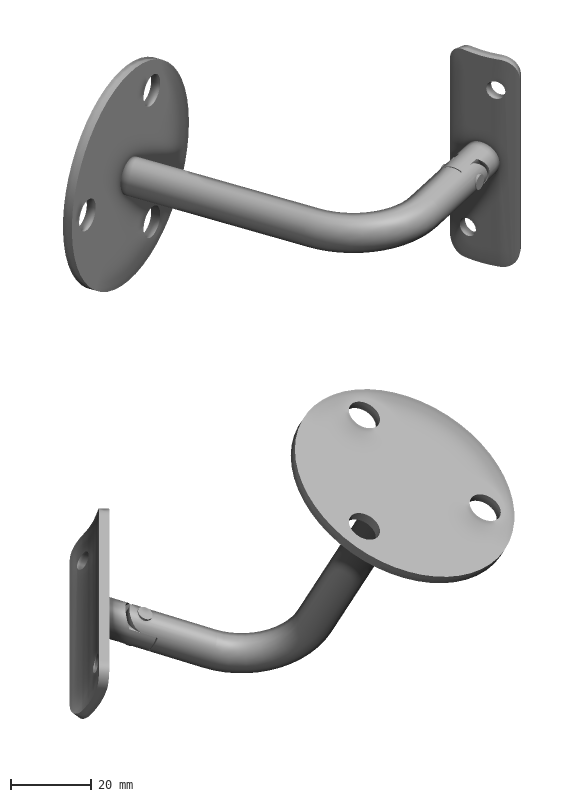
import cadquery as cq
import math

flange_diameter = 60.0
flange_thickness = 2.55
flange_hole_diameter = 8.5
flange_hole_circle_radius = 22.0
flange_hole_count = 3
arm_diameter = 10.0
arm_radius = arm_diameter / 2
bend_radius = 20.0

saddle_width = 20.0
saddle_height = flange_diameter
saddle_thickness = 2.55
saddle_outer_radius = 26.0
saddle_inner_radius = saddle_outer_radius - saddle_thickness
saddle_near_y = 49.6
saddle_corner_radius = 5.0
saddle_hole_diameter = 5.0
saddle_hole_offset_x = 4.0
saddle_hole_offset_z = 21.0

total_length = 85.0
post_x = total_length - saddle_width / 2
bend_start_x = post_x - bend_radius
saddle_axis_y = saddle_near_y + saddle_outer_radius

tongue_width = 5.0
tongue_end_y = 35.45
slot_clearance = 0.38
slot_end_y = tongue_end_y - slot_clearance
pin_y = 39.7
pin_diameter = 4.0
pin_protrusion = 0.3
pin_length = arm_diameter + 2 * pin_protrusion
fork_tip_radius = 4.25
shoulder_radius = 5.35


def box_between(x_range, y_range, height):
    """Box spanning the given X and Y ranges, centred on Z = 0."""
    return (
        cq.Workplane("XY")
        .moveTo((x_range[0] + x_range[1]) / 2, (y_range[0] + y_range[1]) / 2)
        .rect(x_range[1] - x_range[0], y_range[1] - y_range[0])
        .extrude(height / 2, both=True)
    )


def post_cylinder(start_y, end_y):
    """Round bar along Y, in line with the outer leg of the arm."""
    base = cq.Workplane("XZ", origin=(post_x, start_y, 0))
    return base.circle(arm_radius).extrude(start_y - end_y)


def cross_cylinder(radius, length):
    """Cylinder along X, centred on the joint axis."""
    base = cq.Workplane("YZ", origin=(post_x, pin_y, 0))
    return base.circle(radius).extrude(length / 2, both=True)


def fork_profile(tip_radius, start_y):
    """Block across the bar, with a round tip about the joint axis."""
    x_range = (post_x - arm_diameter, post_x + arm_diameter)
    block = box_between(x_range, (start_y, pin_y), 2 * arm_diameter)
    return block.union(cross_cylinder(tip_radius, 2 * arm_diameter))


def tongue_slab(start_y):
    """Slab as wide as the tongue, reaching past the fork tips."""
    half_width = tongue_width / 2
    end_y = pin_y + 2 * shoulder_radius
    return box_between((post_x - half_width, post_x + half_width), (start_y, end_y), 2 * arm_diameter)


def make_flange():
    flange = cq.Workplane("YZ").circle(flange_diameter / 2).extrude(flange_thickness)
    holes = (
        cq.Workplane("YZ")
        .polarArray(flange_hole_circle_radius, 180, 360, flange_hole_count)
        .circle(flange_hole_diameter / 2)
        .extrude(flange_thickness)
    )
    return flange.cut(holes)


def make_arm():
    """Bent bar from the flange to the fork root, with its fork cheeks."""
    path = (
        cq.Workplane("XY")
        .moveTo(flange_thickness, 0)
        .lineTo(bend_start_x, 0)
        .radiusArc((post_x, bend_radius), -bend_radius)
    )
    bend = cq.Workplane("YZ", origin=(flange_thickness, 0, 0)).circle(arm_radius).sweep(path)
    fork = post_cylinder(bend_radius, pin_y + fork_tip_radius)
    fork = fork.intersect(fork_profile(fork_tip_radius, bend_radius))
    fork = fork.cut(tongue_slab(slot_end_y))
    return bend.union(fork)


def make_bracket():
    """Flange, arm, fork and the pin fixed across the fork."""
    pin = cross_cylinder(pin_diameter / 2, pin_length)
    return make_flange().union(make_arm()).union(pin)


def make_saddle_plate():
    half_angle = math.asin(saddle_width / 2 / saddle_outer_radius)

    def arc_point(radius, angle):
        return (post_x + radius * math.sin(angle), saddle_axis_y - radius * math.cos(angle))

    plate = (
        cq.Workplane("XY")
        .moveTo(*arc_point(saddle_outer_radius, -half_angle))
        .threePointArc(arc_point(saddle_outer_radius, 0), arc_point(saddle_outer_radius, half_angle))
        .lineTo(*arc_point(saddle_inner_radius, half_angle))
        .threePointArc(arc_point(saddle_inner_radius, 0), arc_point(saddle_inner_radius, -half_angle))
        .close()
        .extrude(saddle_height / 2, both=True)
    )
    plate = plate.faces("<Z or >Z").edges("%LINE").fillet(saddle_corner_radius)
    holes = (
        cq.Workplane("XZ", origin=(post_x, saddle_axis_y, 0))
        .pushPoints([(side * saddle_hole_offset_x, side * saddle_hole_offset_z) for side in (-1, 1)])
        .circle(saddle_hole_diameter / 2)
        .extrude(saddle_outer_radius)
    )
    return plate.cut(holes)


def make_hinged_saddle():
    """Saddle plate with its round stub and the tongue that enters the fork."""
    saddle_middle_y = saddle_near_y + saddle_thickness / 2
    stub = post_cylinder(tongue_end_y, saddle_middle_y)
    cheek_space = fork_profile(shoulder_radius, slot_end_y).cut(tongue_slab(slot_end_y))
    stub = stub.cut(cheek_space)
    pin_hole = cross_cylinder(pin_diameter / 2, arm_diameter)
    return make_saddle_plate().union(stub).cut(pin_hole)


bracket = make_bracket()
hinged_saddle = make_hinged_saddle()

result = cq.Compound.makeCompound([bracket.solids().val(), hinged_saddle.solids().val()])